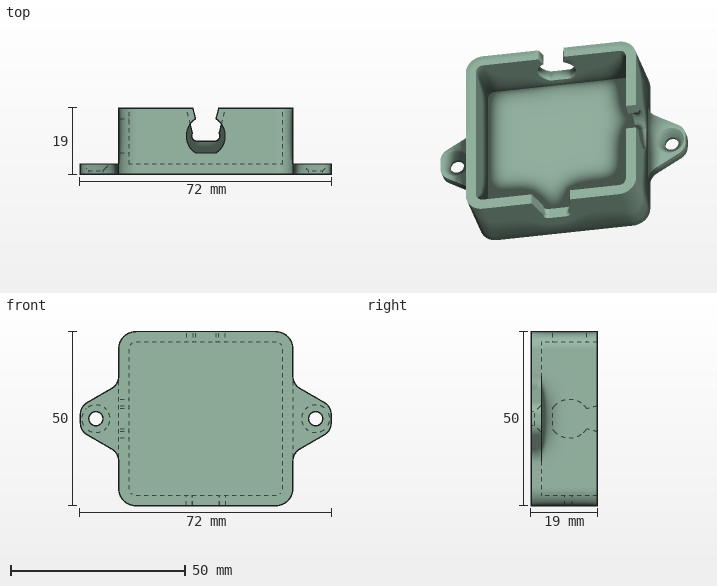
import cadquery as cq
import math

body_side = 50.0
body_depth = 19.0
corner_radius = 5.0
wall = 3.0
floor_thickness = 3.0

overall_length = 72.0
ear_thickness = 3.0
ear_tip_half_height = 3.5
ear_slope = math.radians(30)
ear_blend_radius = 4.0
ear_hole_diameter = 4.0
ear_hole_edge_distance = 4.5
countersink_depth = 2.0
countersink_diameter = 8.0

cable_center_y = 11.0
cable_half_width = 5.57
cable_flat_half_width = 2.9
cable_flat_offset = 4.93
cable_mouth_half_width = 3.7

plug_center_y = cable_center_y
plug_width = 8.0
plug_height = 3.0
plug_neck_offset = 0.75
plug_mouth_half_width = 5.65

half_side = body_side / 2
half_length = overall_length / 2
overcut = 1.0


def slab(width, height, y_start, depth):
    """Rectangular block centred on the Y axis, running from y_start towards +Y."""
    block = cq.Workplane("XZ", origin=(0, y_start, 0)).rect(width, height)
    return block.extrude(-depth)


def make_body():
    """Outer block with rounded corners and the cavity opening at +Y."""
    outer = slab(body_side, body_side, 0, body_depth).edges("|Y").fillet(corner_radius)
    cavity_side = body_side - 2 * wall
    cavity = slab(cavity_side, cavity_side, floor_thickness, body_depth - floor_thickness)
    cavity = cavity.edges("|Y").fillet(corner_radius - wall)
    return outer.cut(cavity)


def make_ear(side):
    """Tapered ear on the side given by the sign, blended into the wall, with a countersunk hole."""
    ear_length = half_length - half_side
    root_half_height = ear_tip_half_height + ear_length * math.tan(ear_slope)
    blend_setback = ear_blend_radius * math.tan(ear_slope)
    wall_tangent_z = root_half_height + blend_setback
    root_x = half_side + blend_setback * math.cos(ear_slope)
    root_z = root_half_height - blend_setback * math.sin(ear_slope)
    arc_mid_x = half_side + ear_blend_radius * (1 - math.cos(ear_slope))
    arc_mid_z = wall_tangent_z - ear_blend_radius * math.sin(ear_slope)
    inner_x = half_side - wall
    ear = (
        cq.Workplane("XZ")
        .moveTo(side * inner_x, -wall_tangent_z)
        .lineTo(side * half_side, -wall_tangent_z)
        .threePointArc((side * arc_mid_x, -arc_mid_z), (side * root_x, -root_z))
        .lineTo(side * half_length, -ear_tip_half_height)
        .lineTo(side * half_length, ear_tip_half_height)
        .lineTo(side * root_x, root_z)
        .threePointArc((side * arc_mid_x, arc_mid_z), (side * half_side, wall_tangent_z))
        .lineTo(side * inner_x, wall_tangent_z)
        .close()
        .extrude(-ear_thickness)
    )
    tip_edges = "|Y and >X" if side > 0 else "|Y and <X"
    ear = ear.edges(tip_edges).fillet(ear_blend_radius)
    hole_x = side * (half_length - ear_hole_edge_distance)
    ear_back = cq.Workplane("XZ", origin=(hole_x, ear_thickness, 0))
    hole = ear_back.circle(ear_hole_diameter / 2).extrude(ear_thickness)
    countersink = (
        ear_back.circle(countersink_diameter / 2)
        .workplane(offset=countersink_depth)
        .circle(ear_hole_diameter / 2)
        .loft()
    )
    return ear.cut(hole).cut(countersink)


def cable_cutter():
    """Cutter through the +Z wall: two bulging arcs, a flat seat and a flared mouth."""
    seat_y = cable_center_y - cable_flat_offset
    neck_y = cable_center_y + cable_flat_offset
    flare = (cable_mouth_half_width - cable_flat_half_width) / (body_depth - neck_y)
    top_y = body_depth + overcut
    top_half_width = cable_mouth_half_width + flare * overcut
    return (
        cq.Workplane("XY", origin=(0, 0, half_side - wall - overcut))
        .moveTo(-cable_flat_half_width, seat_y)
        .lineTo(cable_flat_half_width, seat_y)
        .threePointArc((cable_half_width, cable_center_y), (cable_flat_half_width, neck_y))
        .lineTo(top_half_width, top_y)
        .lineTo(-top_half_width, top_y)
        .lineTo(-cable_flat_half_width, neck_y)
        .threePointArc((-cable_half_width, cable_center_y), (-cable_flat_half_width, seat_y))
        .close()
        .extrude(wall + 2 * overcut)
    )


def plug_cutter():
    """Cutter through the -Z wall: a stadium with a flared mouth at +Y."""
    depth = wall + 2 * overcut
    base = cq.Workplane("XY", origin=(0, 0, -half_side - overcut))
    slot = base.center(0, plug_center_y).slot2D(plug_width, plug_height).extrude(depth)
    end_radius = plug_height / 2
    neck_half_width = plug_width / 2 - end_radius + math.sqrt(end_radius**2 - plug_neck_offset**2)
    neck_y = plug_center_y + plug_neck_offset
    flare = (plug_mouth_half_width - neck_half_width) / (body_depth - neck_y)
    top_y = body_depth + overcut
    top_half_width = plug_mouth_half_width + flare * overcut
    mouth_points = [
        (-neck_half_width, neck_y),
        (neck_half_width, neck_y),
        (top_half_width, top_y),
        (-top_half_width, top_y),
    ]
    return slot.union(base.polyline(mouth_points).close().extrude(depth))


result = make_body()
for side in (-1, 1):
    result = result.union(make_ear(side))

top_notch = cable_cutter()
side_notch = top_notch.rotate((0, 0, 0), (0, 1, 0), -90)
result = result.cut(top_notch).cut(side_notch).cut(plug_cutter())